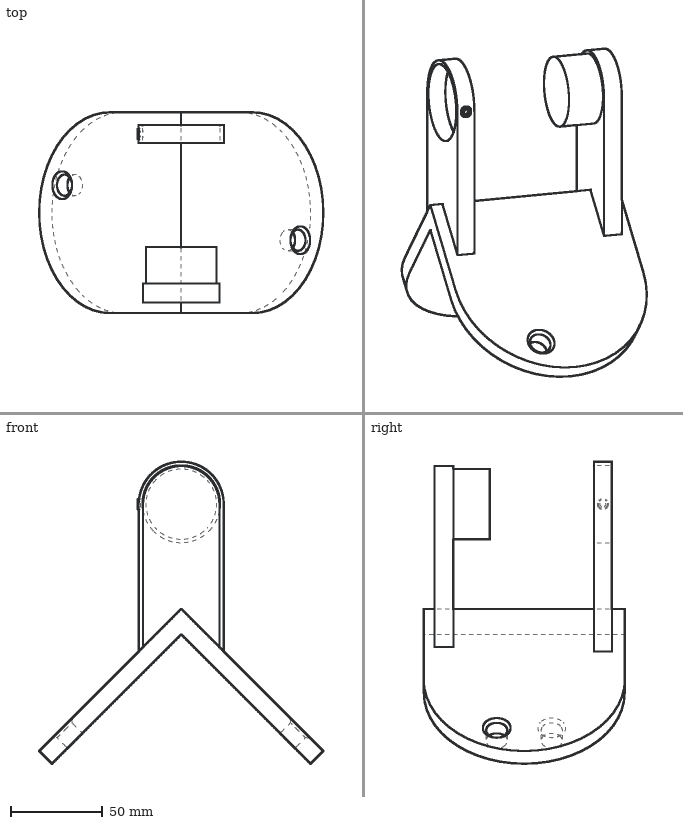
import cadquery as cq
import math

BASE_WIDTH = 110.0
LEG_LENGTH = BASE_WIDTH
LEG_THICKNESS = 10.0
LEG_ANGLE = 45
LEG_END_RADIUS = BASE_WIDTH / 2

MOUNT_DISTANCE = 92.1
MOUNT_OFFSET_Y = 15.0
MOUNT_DIAMETER = 11.5
COUNTERSINK_DIAMETER = 15.2
COUNTERSINK_ANGLE = 90

AXIS_HEIGHT = 57.2

RING_ARM_WIDTH = 46.6
RING_ARM_THICKNESS = 10.0
RING_ARM_FRONT_Y = 38.0
RING_WALL = 2.1
RING_BORE_RADIUS = RING_ARM_WIDTH / 2 - RING_WALL

PLUG_ARM_WIDTH = 42.0
PLUG_ARM_THICKNESS = 10.4
PLUG_ARM_FRONT_Y = -49.1
PLUG_DIAMETER = 38.5
PLUG_LENGTH = 19.8

SCREW_DIAMETER = 6.0
SCREW_PROJECTION = 0.7
SCREW_LENGTH = RING_WALL + SCREW_PROJECTION
SOCKET_ACROSS_FLATS = 3.0
SOCKET_DEPTH = 1.7
SCREW_CHAMFER = 0.5


def make_leg(side):
    """One round-ended plate of the vee; side is +1 for +X and -1 for -X."""
    slope = math.radians(LEG_ANGLE)
    down_leg = cq.Vector(side * math.cos(slope), 0, -math.sin(slope))
    normal = cq.Vector(side * math.sin(slope), 0, math.cos(slope))
    upper_face = cq.Plane(origin=(0, 0, 0), xDir=down_leg, normal=normal)
    straight = LEG_LENGTH - LEG_END_RADIUS
    leg = (
        cq.Workplane(upper_face)
        .moveTo(0, -LEG_END_RADIUS)
        .lineTo(straight, -LEG_END_RADIUS)
        .threePointArc((LEG_LENGTH, 0), (straight, LEG_END_RADIUS))
        .lineTo(0, LEG_END_RADIUS)
        .close()
        .extrude(-LEG_THICKNESS)
    )
    return (
        leg.copyWorkplane(cq.Workplane(upper_face))
        .center(MOUNT_DISTANCE, -MOUNT_OFFSET_Y)
        .cskHole(MOUNT_DIAMETER, COUNTERSINK_DIAMETER, COUNTERSINK_ANGLE)
    )


def make_base():
    """Two legs, each kept on its own side of the mitre plane below the ridge."""
    halves = []
    for side in (-1, 1):
        half_space = (
            cq.Workplane("XY")
            .box(2 * LEG_LENGTH, 2 * BASE_WIDTH, 4 * LEG_LENGTH)
            .translate((side * LEG_LENGTH, 0, 0))
        )
        halves.append(make_leg(side).intersect(half_space))
    return halves[0].union(halves[1])


def make_arm(width, thickness, front_y):
    """Upright round-topped arm whose foot straddles the ridge of the base."""
    half_width = width / 2
    foot_z = -half_width * math.tan(math.radians(LEG_ANGLE))
    return (
        cq.Workplane("XZ", origin=(0, front_y, 0))
        .moveTo(0, 0)
        .lineTo(half_width, foot_z)
        .lineTo(half_width, AXIS_HEIGHT)
        .threePointArc((0, AXIS_HEIGHT + half_width), (-half_width, AXIS_HEIGHT))
        .lineTo(-half_width, foot_z)
        .close()
        .extrude(-thickness)
    )


def screw_plane():
    """Plane across the outer end of the set screw, facing away from the ring."""
    outer_x = -RING_ARM_WIDTH / 2 - SCREW_PROJECTION
    middle_y = RING_ARM_FRONT_Y + RING_ARM_THICKNESS / 2
    return cq.Plane(origin=(outer_x, middle_y, AXIS_HEIGHT), xDir=(0, 1, 0), normal=(-1, 0, 0))


def make_ring_arm():
    arm = make_arm(RING_ARM_WIDTH, RING_ARM_THICKNESS, RING_ARM_FRONT_Y)
    bore = (
        cq.Workplane("XZ", origin=(0, RING_ARM_FRONT_Y, AXIS_HEIGHT))
        .circle(RING_BORE_RADIUS)
        .extrude(-RING_ARM_THICKNESS)
    )
    screw_hole = (
        cq.Workplane(screw_plane())
        .circle(SCREW_DIAMETER / 2)
        .extrude(-SCREW_LENGTH - SCREW_DIAMETER)
    )
    return arm.cut(bore).cut(screw_hole)


def make_plug_arm():
    arm = make_arm(PLUG_ARM_WIDTH, PLUG_ARM_THICKNESS, PLUG_ARM_FRONT_Y)
    plug = (
        cq.Workplane("XZ", origin=(0, PLUG_ARM_FRONT_Y, AXIS_HEIGHT))
        .circle(PLUG_DIAMETER / 2)
        .extrude(-PLUG_ARM_THICKNESS - PLUG_LENGTH)
    )
    return arm.union(plug)


def make_set_screw():
    across_corners = SOCKET_ACROSS_FLATS / math.cos(math.pi / 6)
    socket = cq.Workplane(screw_plane()).polygon(6, across_corners).extrude(-SOCKET_DEPTH)
    shank = (
        cq.Workplane(screw_plane())
        .circle(SCREW_DIAMETER / 2)
        .extrude(-SCREW_LENGTH)
        .faces("<X")
        .chamfer(SCREW_CHAMFER)
    )
    return shank.cut(socket)


base = make_base()
ring_arm = make_ring_arm()
plug_arm = make_plug_arm()
set_screw = make_set_screw()

result = cq.Compound.makeCompound([base.val(), ring_arm.val(), plug_arm.val(), set_screw.val()])